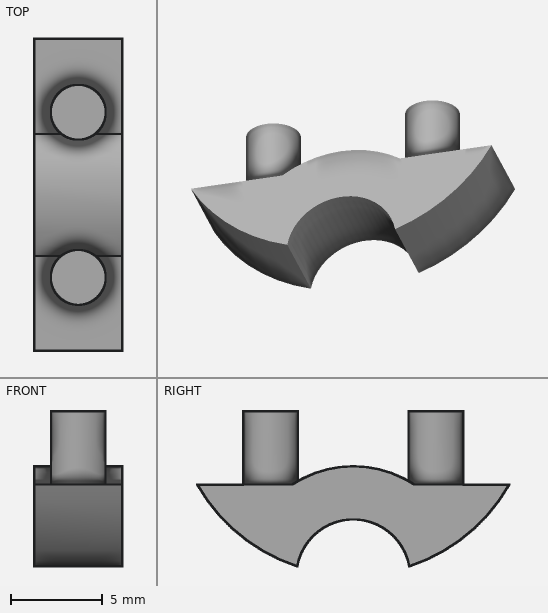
import cadquery as cq
import math

length = 17.0
thickness = 4.8
outer_radius = 9.78

bore_depth = 5.0
bore_radius = 3.1
crown_radius = 6.0

pin_diameter = 3.0
pin_spacing = 9.0
pin_height = 4.0

outer_center_z = math.sqrt(outer_radius**2 - (length / 2) ** 2)
crown_top_z = crown_radius - bore_depth
crown_half_width = math.sqrt(crown_radius**2 - bore_depth**2)


def cross_section():
    """Start a sketch in the YZ plane, on the -X face of the body."""
    return cq.Workplane("YZ", origin=(-thickness / 2, 0, 0))


def make_body():
    """Circular segment with a crown on top and a bore opening downward."""
    outline = (
        cross_section()
        .moveTo(-length / 2, 0)
        .threePointArc((0, outer_center_z - outer_radius), (length / 2, 0))
        .lineTo(crown_half_width, 0)
        .threePointArc((0, crown_top_z), (-crown_half_width, 0))
        .close()
    )
    bore = cross_section().center(0, -bore_depth).circle(bore_radius).extrude(thickness)
    return outline.extrude(thickness).cut(bore)


def make_pins():
    """Two pins placed symmetrically about the crown."""
    return (
        cq.Workplane("XY")
        .pushPoints([(0, -pin_spacing / 2), (0, pin_spacing / 2)])
        .circle(pin_diameter / 2)
        .extrude(pin_height)
    )


result = make_body().union(make_pins())